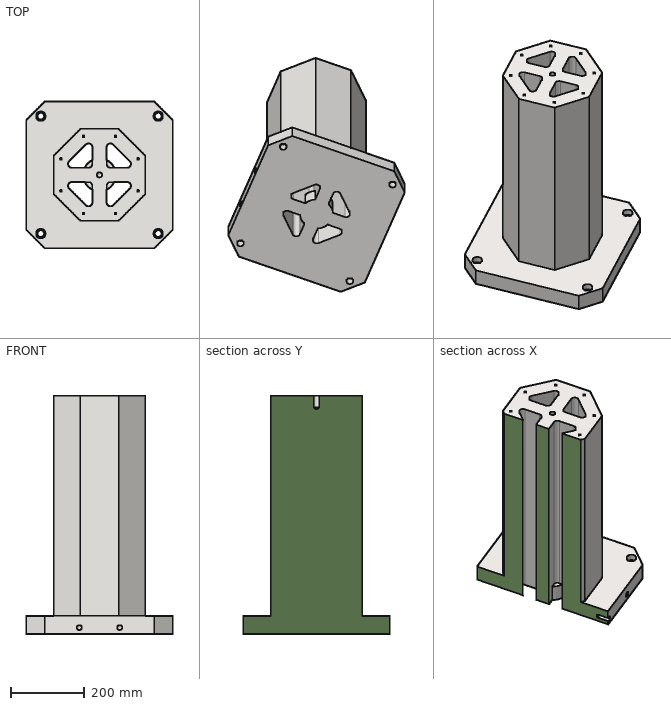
import cadquery as cq
import math

plate_width = 400.0
plate_thickness = 50.0
plate_corner_cut = 51.0

total_height = 650.0
column_width = 250.0

rib_thickness = 39.0
pocket_outer_distance = 84.5
pocket_corner_radius = 10.5

core_diameter = 90.0

mount_spacing = 320.0
mount_diameter = 18.0
counterbore_diameter = 26.0
counterbore_depth = 19.5

top_hole_count = 8
top_hole_circle_radius = 114.0
top_hole_diameter = 5.0
top_hole_depth = 19.5

drill_tip_angle = 118.0
center_hole_diameter = 14.0
center_hole_depth = 32.5
side_hole_diameter = 13.5
side_hole_depth = 32.5
side_hole_spacing = 110.0
side_hole_height = 18.0


def drill(diameter, depth):
    """Drill body entering downward from the origin, with a conical tip below the full-diameter depth."""
    radius = diameter / 2
    tip_length = radius / math.tan(math.radians(drill_tip_angle / 2))
    profile = (
        cq.Workplane("XZ")
        .polyline([(0, 0), (radius, 0), (radius, -depth), (0, -depth - tip_length)])
        .close()
    )
    return profile.revolve(360, (0, 0, 0), (0, 1, 0))


def base_plate():
    """Square plate with its four vertical edges cut at 45 degrees."""
    plate = cq.Workplane("XY").rect(plate_width, plate_width).extrude(plate_thickness)
    return plate.edges("|Z").chamfer(plate_corner_cut)


def column():
    """Regular octagon standing on the plate, with flats facing X and Y."""
    corner_cut = column_width * (1 - math.tan(math.pi / 8)) / 2
    body = (
        cq.Workplane("XY")
        .workplane(offset=plate_thickness)
        .rect(column_width, column_width)
        .extrude(total_height - plate_thickness)
    )
    return body.edges("|Z").chamfer(corner_cut)


def pockets():
    """Four rounded triangular prisms over the full height, less the core in the plate."""
    near = rib_thickness / 2
    far = pocket_outer_distance * math.sqrt(2) - near
    pocket = (
        cq.Workplane("XY")
        .polyline([(near, near), (far, near), (near, far)])
        .close()
        .extrude(total_height)
        .edges("|Z")
        .fillet(pocket_corner_radius)
    )
    core = cq.Workplane("XY").circle(core_diameter / 2).extrude(plate_thickness)
    pocket = pocket.cut(core)
    all_pockets = pocket
    for quarter in range(1, 4):
        all_pockets = all_pockets.union(pocket.rotate((0, 0, 0), (0, 0, 1), 90 * quarter))
    return all_pockets


def cut_mounting_holes(body):
    """Through holes in the plate corners, counterbored from the plate's upper face."""
    return (
        body.copyWorkplane(cq.Workplane("XY", origin=(0, 0, plate_thickness)))
        .rect(mount_spacing, mount_spacing, forConstruction=True)
        .vertices()
        .cboreHole(mount_diameter, counterbore_diameter, counterbore_depth, plate_thickness)
    )


def cut_top_holes(body):
    """Central hole and the ring of small holes in the column's upper face."""
    center_hole = drill(center_hole_diameter, center_hole_depth)
    body = body.cut(center_hole.translate((0, 0, total_height)))
    small_hole = drill(top_hole_diameter, top_hole_depth)
    small_hole = small_hole.translate((top_hole_circle_radius, 0, total_height))
    pitch_angle = 360 / top_hole_count
    for index in range(top_hole_count):
        angle = (index + 0.5) * pitch_angle
        body = body.cut(small_hole.rotate((0, 0, 0), (0, 0, 1), angle))
    return body


def cut_side_holes(body):
    """Pair of holes drilled into the front (-Y) edge of the plate."""
    side_drill = drill(side_hole_diameter, side_hole_depth).rotate((0, 0, 0), (1, 0, 0), 90)
    for side in (-1, 1):
        place = (side * side_hole_spacing / 2, -plate_width / 2, side_hole_height)
        body = body.cut(side_drill.translate(place))
    return body


result = base_plate().union(column()).cut(pockets())
result = cut_mounting_holes(result)
result = cut_top_holes(result)
result = cut_side_holes(result)